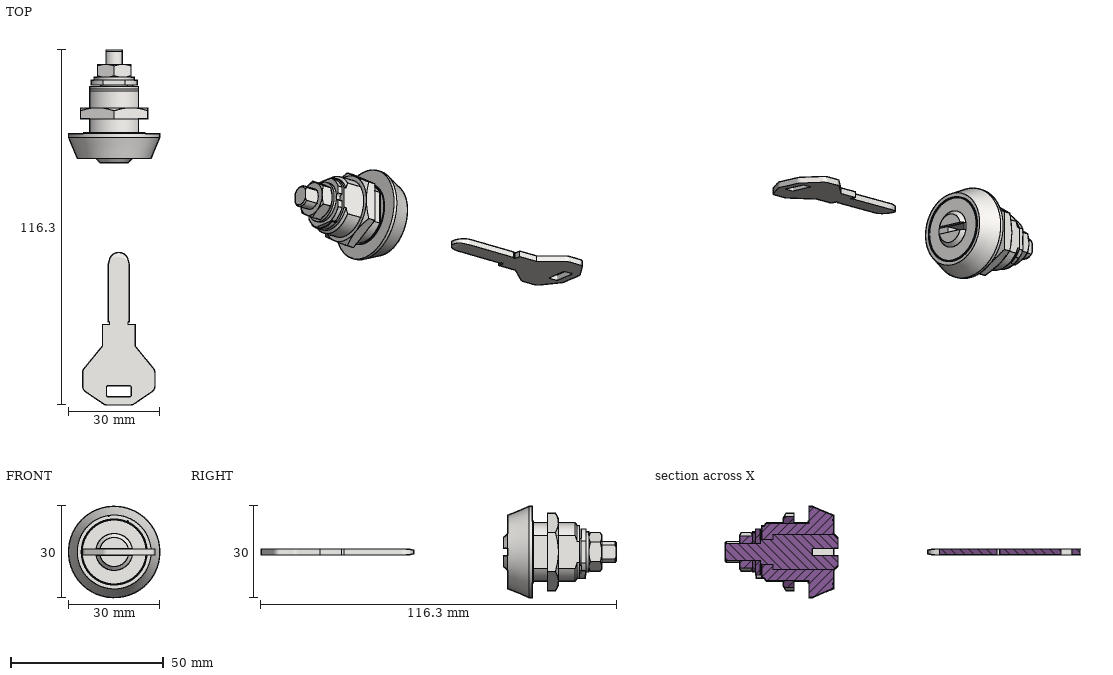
import cadquery as cq
import math


TOTAL_LENGTH = 116.3

BEZEL_RADIUS = 15.0
BEZEL_FRONT_RADIUS = 12.1
BEZEL_RIM = 1.2
BEZEL_DEPTH = 8.1
FACE_GROOVE_RADIUS = 10.8
FACE_GROOVE_WIDTH = 0.3
FACE_GROOVE_DEPTH = 0.3
BARREL_RADIUS = 9.7
BARREL_FLAT = 8.0
BARREL_THREAD_END = 14.0
BARREL_END = 15.5
BARREL_END_RADIUS = 8.7
BARREL_CHAMFER = 0.7

TAB_INNER_RADIUS = 8.5
TAB_END = 17.3
TAB_START_ANGLE = -119
TAB_SWEEP_ANGLE = 74

GASKET_RADIUS = 10.1
GASKET_THICKNESS = 0.3

HEX_CHAMFER_ANGLE = 30
MOUNT_NUT_FLATS = 22.1
MOUNT_NUT_FRONT = 4.9
MOUNT_NUT_BACK = 8.5
CAM_NUT_FLATS = 11.0
CAM_NUT_BACK = 22.7

KNOB_HEIGHT = 1.4
KNOB_RADIUS = 6.0
KNOB_FRONT_RADIUS = 4.8
KNOB_SLOT = 2.5
KEYWAY_HEIGHT = 2.2
KEYWAY_DEPTH = 7.0
CORE_END = 11.6
NECK_RADIUS = 4.4
SPINDLE_RADIUS = 3.5
SPINDLE_FLAT = 2.7
SPINDLE_END = 27.5
SPINDLE_CHAMFER = 0.5

PLATE_FRONT = 15.9
PLATE_BACK = 17.6
PLATE_HALF_WIDTH = 7.6
PLATE_CORNER_RADIUS = 8.4
PLATE_NOTCH_RADIUS = 1.2
WASHER_BACK = 18.5
WASHER_RADIUS = 6.6

KEY_X = 1.5
KEY_LENGTH = 50.0
KEY_TIP = SPINDLE_END - TOTAL_LENGTH + KEY_LENGTH
KEY_THICKNESS = 2.0
BLADE_WIDTH = 7.0
BLADE_LENGTH = 22.8
RELIEF_WIDTH = 6.2
RELIEF_LENGTH = 0.8
SHOULDER_WIDTH = 10.8
SHOULDER_LENGTH = 7.1
BOW_WIDTH = 23.7
BOW_TAPER_LENGTH = 7.9
BOW_SIDE_LENGTH = 6.4
BOW_END_WIDTH = 9.0
BOW_CORNER_RADIUS = 2.2
BOW_HOLE_WIDTH = 8.0
BOW_HOLE_LENGTH = 3.5
BOW_HOLE_FROM_END = 4.5
BOW_HOLE_CORNER = 0.3
TIP_LENGTH = 4.0
TIP_ARC_WIDTH = 6.0
TIP_ARC_LENGTH = 2.2
TIP_BEVEL_LENGTH = 1.6
TIP_BEVEL_DEPTH = 0.3
TIP_BEVEL_RADIUS = 4.2


def plane_at(y):
    """XZ plane at the given Y, with its normal along +Y and its Y axis along +Z."""
    return cq.Plane(origin=(0, y, 0), xDir=(-1, 0, 0), normal=(0, 1, 0))


def cylinder(radius, y_start, y_end):
    return cq.Workplane(plane_at(y_start)).circle(radius).extrude(y_end - y_start)


def block(width, height, y_start, y_end):
    return cq.Workplane(plane_at(y_start)).rect(width, height).extrude(y_end - y_start)


def turned(profile):
    """Revolve a closed (radius, y) profile around the Y axis."""
    return cq.Workplane("XY").polyline(profile).close().revolve(360, (0, 0, 0), (0, 1, 0))


def spindle(y_start, y_end):
    """Round bar with two flats facing -X and +X."""
    flats = block(2 * SPINDLE_FLAT, 2 * SPINDLE_RADIUS, y_start, y_end)
    return cylinder(SPINDLE_RADIUS, y_start, y_end).intersect(flats)


def make_housing():
    bezel = turned([
        (0, -BEZEL_DEPTH),
        (BEZEL_FRONT_RADIUS, -BEZEL_DEPTH),
        (BEZEL_RADIUS, -BEZEL_RIM),
        (BEZEL_RADIUS, 0),
        (0, 0),
    ])
    groove_floor = FACE_GROOVE_DEPTH - BEZEL_DEPTH
    groove = cylinder(FACE_GROOVE_RADIUS, -BEZEL_DEPTH, groove_floor).cut(
        cylinder(FACE_GROOVE_RADIUS - FACE_GROOVE_WIDTH, -BEZEL_DEPTH, groove_floor))

    barrel = turned([
        (0, 0),
        (BARREL_RADIUS, 0),
        (BARREL_RADIUS, BARREL_THREAD_END),
        (BARREL_END_RADIUS, BARREL_THREAD_END + BARREL_CHAMFER),
        (BARREL_END_RADIUS, BARREL_END),
        (0, BARREL_END),
    ])
    barrel = barrel.intersect(block(2 * BARREL_FLAT, 2 * BARREL_RADIUS, 0, BARREL_END))

    bore = cylinder(KNOB_RADIUS, -BEZEL_DEPTH, CORE_END).union(
        cylinder(NECK_RADIUS, CORE_END, BARREL_END))
    return bezel.cut(groove).union(barrel).union(make_stop_tab()).cut(bore)


def make_stop_tab():
    def point(radius, angle):
        turn = math.radians(angle)
        return (radius * math.cos(turn), radius * math.sin(turn))

    middle = TAB_START_ANGLE + TAB_SWEEP_ANGLE / 2
    end = TAB_START_ANGLE + TAB_SWEEP_ANGLE
    root = BARREL_THREAD_END + BARREL_CHAMFER
    return (
        cq.Workplane("XZ", origin=(0, root, 0))
        .moveTo(*point(BARREL_END_RADIUS, TAB_START_ANGLE))
        .threePointArc(point(BARREL_END_RADIUS, middle), point(BARREL_END_RADIUS, end))
        .lineTo(*point(TAB_INNER_RADIUS, end))
        .threePointArc(point(TAB_INNER_RADIUS, middle), point(TAB_INNER_RADIUS, TAB_START_ANGLE))
        .close()
        .extrude(root - TAB_END)
    )


def make_gasket():
    gasket = cylinder(GASKET_RADIUS, 0, GASKET_THICKNESS)
    barrel = cylinder(BARREL_RADIUS, 0, GASKET_THICKNESS)
    flats = block(2 * BARREL_FLAT, 2 * BARREL_RADIUS, 0, GASKET_THICKNESS)
    return gasket.cut(barrel.intersect(flats))


def make_hex_nut(across_flats, bore_radius, y_front, y_back, front_chamfer):
    """Hex nut with corners at +Z and -Z, chamfered on its back face and optionally its front face."""
    corner_radius = across_flats / math.sqrt(3)
    flat_radius = across_flats / 2
    drop = (corner_radius - flat_radius) * math.tan(math.radians(HEX_CHAMFER_ANGLE))
    hexagon = (
        cq.Workplane(plane_at(y_front))
        .transformed(rotate=(0, 0, 90))
        .polygon(6, 2 * corner_radius)
        .extrude(y_back - y_front)
    )
    if front_chamfer:
        front_edge = [(flat_radius, y_front), (corner_radius, y_front + drop)]
    else:
        front_edge = [(corner_radius, y_front)]
    envelope = turned([
        (0, y_front),
        *front_edge,
        (corner_radius, y_back - drop),
        (flat_radius, y_back),
        (0, y_back),
    ])
    return hexagon.intersect(envelope).cut(cylinder(bore_radius, y_front, y_back))


def make_rotor():
    knob_front = -BEZEL_DEPTH - KNOB_HEIGHT
    body = turned([
        (0, knob_front),
        (KNOB_FRONT_RADIUS, knob_front),
        (KNOB_RADIUS, -BEZEL_DEPTH),
        (KNOB_RADIUS, CORE_END),
        (NECK_RADIUS, CORE_END),
        (NECK_RADIUS, PLATE_FRONT),
        (0, PLATE_FRONT),
    ])
    shaft = spindle(PLATE_FRONT, SPINDLE_END).intersect(
        cylinder(SPINDLE_RADIUS, PLATE_FRONT, SPINDLE_END).faces(">Y").chamfer(SPINDLE_CHAMFER))
    slot = block(2 * KNOB_RADIUS, KNOB_SLOT, knob_front, -BEZEL_DEPTH)
    keyway = block(BLADE_WIDTH, KEYWAY_HEIGHT, -BEZEL_DEPTH, KEYWAY_DEPTH - BEZEL_DEPTH)
    keyway = keyway.translate((KEY_X, 0, 0))
    return body.union(shaft).cut(slot).cut(keyway)


def make_stop_plate():
    """Square plate with round corners, notched on its -X side, keyed to the spindle flats."""
    width = 2 * PLATE_HALF_WIDTH
    plate = block(width, width, PLATE_FRONT, PLATE_BACK).intersect(
        cylinder(PLATE_CORNER_RADIUS, PLATE_FRONT, PLATE_BACK))
    notch = cylinder(PLATE_NOTCH_RADIUS, PLATE_FRONT, PLATE_BACK).translate((-PLATE_HALF_WIDTH, 0, 0))
    return plate.cut(notch).cut(spindle(PLATE_FRONT, PLATE_BACK))


def make_washer():
    return cylinder(WASHER_RADIUS, PLATE_BACK, WASHER_BACK).cut(
        cylinder(SPINDLE_RADIUS, PLATE_BACK, WASHER_BACK))


def make_key():
    """Flat key lying in the XY plane, its round tip towards the lock."""
    relief_y = KEY_TIP - BLADE_LENGTH
    shoulder_y = relief_y - RELIEF_LENGTH
    taper_y = shoulder_y - SHOULDER_LENGTH
    side_y = taper_y - BOW_TAPER_LENGTH
    side_end_y = side_y - BOW_SIDE_LENGTH
    end_y = KEY_TIP - KEY_LENGTH

    tip_start = (-TIP_ARC_WIDTH / 2, KEY_TIP - TIP_ARC_LENGTH)
    tip_end = (TIP_ARC_WIDTH / 2, KEY_TIP - TIP_ARC_LENGTH)
    blade = (
        cq.Workplane("XY")
        .moveTo(*tip_start)
        .threePointArc((0, KEY_TIP), tip_end)
        .lineTo(BLADE_WIDTH / 2, KEY_TIP - TIP_LENGTH)
        .lineTo(BLADE_WIDTH / 2, relief_y)
        .lineTo(-BLADE_WIDTH / 2, relief_y)
        .lineTo(-BLADE_WIDTH / 2, KEY_TIP - TIP_LENGTH)
        .close()
        .extrude(KEY_THICKNESS / 2, both=True)
    )
    relief = cq.Workplane("XY").box(RELIEF_WIDTH, RELIEF_LENGTH, KEY_THICKNESS).translate(
        (0, relief_y - RELIEF_LENGTH / 2, 0))
    half_outline = [
        (SHOULDER_WIDTH / 2, shoulder_y),
        (SHOULDER_WIDTH / 2, taper_y),
        (BOW_WIDTH / 2, side_y),
        (BOW_WIDTH / 2, side_end_y),
        (BOW_END_WIDTH / 2, end_y),
    ]
    mirrored = [(-x, y) for x, y in reversed(half_outline)]
    bow = (
        cq.Workplane("XY")
        .polyline(half_outline + mirrored)
        .close()
        .extrude(KEY_THICKNESS / 2, both=True)
    )
    round_corners = cq.selectors.BoxSelector(
        (-BOW_WIDTH, end_y - BOW_CORNER_RADIUS, -KEY_THICKNESS),
        (BOW_WIDTH, side_y + BOW_CORNER_RADIUS, KEY_THICKNESS),
    )
    bow = bow.edges("|Z").edges(round_corners).fillet(BOW_CORNER_RADIUS)
    hole = (
        cq.Workplane("XY")
        .box(BOW_HOLE_WIDTH, BOW_HOLE_LENGTH, KEY_THICKNESS)
        .edges("|Z")
        .fillet(BOW_HOLE_CORNER)
        .translate((0, end_y + BOW_HOLE_FROM_END, 0))
    )
    key = bevel_tip(blade).union(relief).union(bow).cut(hole)
    return key.translate((KEY_X, 0, 0))


def bevel_tip(blade):
    """Bevel both flats of the blade at the tip with cones whose axis is along Z."""
    centre_y = KEY_TIP - TIP_BEVEL_LENGTH - TIP_BEVEL_RADIUS
    slope = TIP_BEVEL_LENGTH / TIP_BEVEL_DEPTH
    half = KEY_THICKNESS / 2
    middle_radius = TIP_BEVEL_RADIUS + slope * half
    double_cone = [
        (0, -half),
        (TIP_BEVEL_RADIUS, -half),
        (middle_radius, 0),
        (TIP_BEVEL_RADIUS, half),
        (0, half),
    ]
    cone = (
        cq.Workplane("XZ")
        .polyline(double_cone)
        .close()
        .revolve(360, (0, 0, 0), (0, 1, 0))
        .translate((0, centre_y, 0))
    )
    tip = cq.Workplane("XY").box(BLADE_WIDTH, KEY_TIP - centre_y, KEY_THICKNESS).translate(
        (0, (KEY_TIP + centre_y) / 2, 0))
    return blade.cut(tip.cut(cone))


housing = make_housing()
gasket = make_gasket()
mount_nut = make_hex_nut(
    MOUNT_NUT_FLATS, BARREL_RADIUS, MOUNT_NUT_FRONT, MOUNT_NUT_BACK, front_chamfer=False)
rotor = make_rotor()
stop_plate = make_stop_plate()
washer = make_washer()
cam_nut = make_hex_nut(
    CAM_NUT_FLATS, SPINDLE_RADIUS, WASHER_BACK, CAM_NUT_BACK, front_chamfer=True)
key = make_key()

result = cq.Compound.makeCompound([
    housing.val(),
    gasket.val(),
    mount_nut.val(),
    rotor.val(),
    stop_plate.val(),
    washer.val(),
    cam_nut.val(),
    key.val(),
])